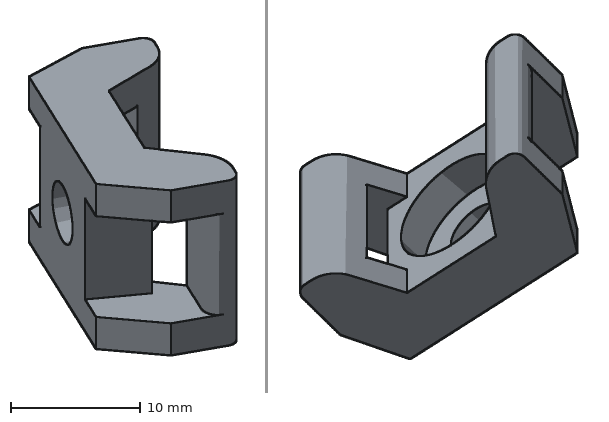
import cadquery as cq
import math

width = 22.0
depth = 10.8
height = 15.0

base_half_width = 8.3
floor_half_width = 4.4
floor_y = 5.21
prong_slope = math.radians(60)
inner_tip_radius = 3.0
outer_tip_radius = 0.95

window_height = 9.15
window_roof_y = 8.1
roof_edge_radius = 1.32
web_half_width_front = 5.59
web_half_width_back = 6.34

hole_diameter = 5.0
counterbore_diameter = 10.0
counterbore_floor_y = 2.2
hole_z = height / 2


def make_saddle():
    """Extrude the cradle outline, then round the prong tips."""
    half_width = width / 2
    prong_run = (depth - floor_y) / math.tan(prong_slope)
    tip_inner_x = floor_half_width + prong_run
    body = (
        cq.Workplane("XY")
        .moveTo(-base_half_width, 0)
        .lineTo(base_half_width, 0)
        .lineTo(half_width, floor_y)
        .lineTo(half_width, depth)
        .lineTo(tip_inner_x, depth)
        .lineTo(floor_half_width, floor_y)
        .lineTo(-floor_half_width, floor_y)
        .lineTo(-tip_inner_x, depth)
        .lineTo(-half_width, depth)
        .lineTo(-half_width, floor_y)
        .close()
        .extrude(height)
    )
    inner_tips = body.faces(">Y").edges("|Z").edges("not (<X or >X)")
    body = inner_tips.fillet(inner_tip_radius)
    outer_tips = body.faces(">Y").edges("|Z").edges("<X or >X")
    return outer_tips.fillet(outer_tip_radius)


def make_left_window():
    """Strap window that opens to the front, the side and the seat."""
    side_x = -width / 2
    arc_offset = roof_edge_radius * math.sqrt(0.5)
    arc_middle = (side_x + roof_edge_radius - arc_offset,
                  window_roof_y + roof_edge_radius - arc_offset)
    return (
        cq.Workplane("XY", origin=(0, 0, (height - window_height) / 2))
        .moveTo(side_x, 0)
        .lineTo(-web_half_width_front, 0)
        .lineTo(-web_half_width_back, floor_y)
        .lineTo(0, floor_y)
        .lineTo(0, window_roof_y)
        .lineTo(side_x + roof_edge_radius, window_roof_y)
        .threePointArc(arc_middle, (side_x, window_roof_y + roof_edge_radius))
        .close()
        .extrude(window_height)
    )


def make_hole():
    """Screw hole through the web along Y, counterbored from the seat."""
    bore = (
        cq.Workplane("XZ", origin=(0, 0, hole_z))
        .circle(hole_diameter / 2)
        .extrude(-depth)
    )
    counterbore = (
        cq.Workplane("XZ", origin=(0, counterbore_floor_y, hole_z))
        .circle(counterbore_diameter / 2)
        .extrude(counterbore_floor_y - floor_y)
    )
    return bore.union(counterbore)


left_window = make_left_window()
right_window = left_window.mirror("YZ")
result = make_saddle().cut(left_window).cut(right_window).cut(make_hole())